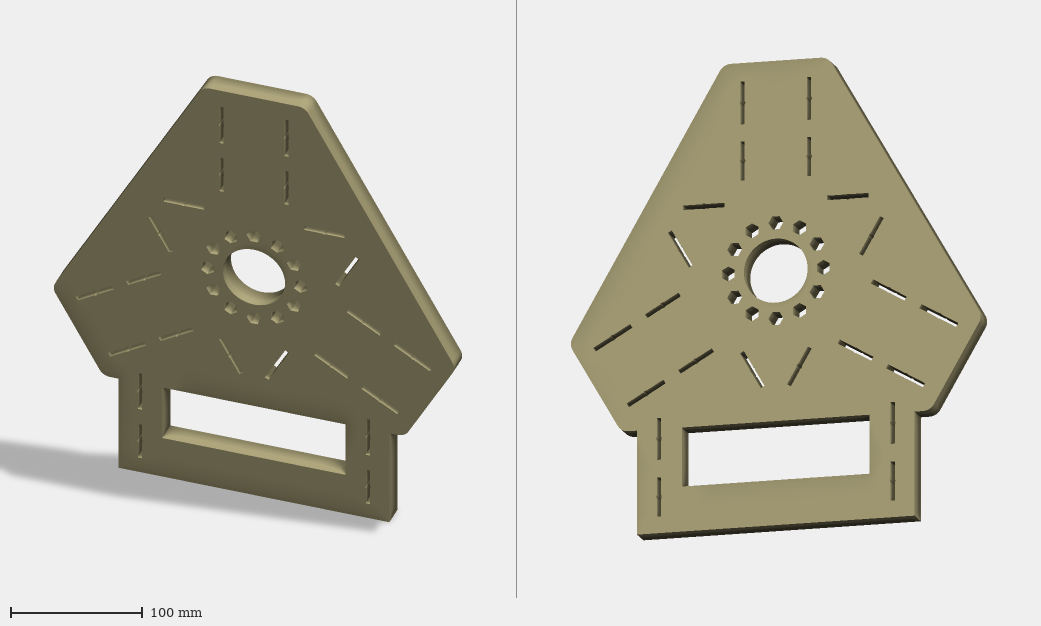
import cadquery as cq
import math

TOTAL_HEIGHT = 363.3
THICKNESS = 18.0
ARM_REACH = 164.2
SIDE_REACH = 117.7
CORNER_RADIUS = 9.8
ARM_COUNT = 3

FRAME_WIDTH = 218.5
FRAME_BOTTOM = ARM_REACH - TOTAL_HEIGHT
RAIL_WIDTH = 35.2

BORE_DIAMETER = 50.0
NUT_COUNT = 12
NUT_RING_RADIUS = 37.5
NUT_SIDES = 6
NUT_ACROSS_CORNERS = 11.5

SLOT_WIDTH = 3.45
SLOT_HOLE_DIAMETER = 4.5
LONG_SLOT = 33.5
MIDDLE_SLOT = 32.7
SHORT_SLOT = 30.5

ARM_SLOT_X = 26.0
ARM_OUTER_SLOT_Z = 133.0
ARM_INNER_SLOT_Z = 87.5
CROSS_SLOT_X = 56.5
CROSS_SLOT_Z = 54.0

FRAME_SLOT_X = 92.0
FRAME_UPPER_SLOT_Z = -125.5
FRAME_LOWER_SLOT_Z = -170.7


def sketch_plane():
    """XZ plane through the middle of the thickness, bore centre at the origin."""
    return cq.Workplane("XZ")


def extrude_through(outline):
    return outline.extrude(THICKNESS / 2, both=True)


def rotated(x, z, angle):
    """Point (x, z) turned counter-clockwise about the bore centre by an angle in degrees."""
    c = math.cos(math.radians(angle))
    s = math.sin(math.radians(angle))
    return x * c - z * s, x * s + z * c


def arm_angles():
    return [arm * 360 / ARM_COUNT for arm in range(ARM_COUNT)]


def plate():
    turn = math.pi / ARM_COUNT
    half_short_side = (SIDE_REACH - ARM_REACH * math.cos(turn)) / math.sin(turn)
    corners = []
    for angle in arm_angles():
        corners.append(rotated(half_short_side, ARM_REACH, angle))
        corners.append(rotated(-half_short_side, ARM_REACH, angle))
    body = extrude_through(sketch_plane().polyline(corners).close())
    return body.edges("|Y").fillet(CORNER_RADIUS)


def block(width, bottom, top):
    """Full-thickness block centred on x = 0 between two heights."""
    return extrude_through(sketch_plane().center(0, (bottom + top) / 2).rect(width, top - bottom))


def frame():
    outer = block(FRAME_WIDTH, FRAME_BOTTOM, -SIDE_REACH)
    window = block(FRAME_WIDTH - 2 * RAIL_WIDTH, FRAME_BOTTOM + RAIL_WIDTH, -SIDE_REACH)
    return outer.cut(window)


def bore():
    return extrude_through(sketch_plane().circle(BORE_DIAMETER / 2))


def nut_holes():
    hole = extrude_through(sketch_plane().center(0, NUT_RING_RADIUS).polygon(NUT_SIDES, NUT_ACROSS_CORNERS))
    holes = []
    for index in range(NUT_COUNT):
        holes.append(hole.rotate((0, 0, 0), (0, -1, 0), index * 360 / NUT_COUNT))
    return holes


def slot(x, z, length, angle):
    """Slot at (x, z) whose length runs at an angle in degrees from +X."""
    groove = extrude_through(sketch_plane().rect(length, SLOT_WIDTH))
    hole = extrude_through(sketch_plane().circle(SLOT_HOLE_DIAMETER / 2))
    turned = groove.union(hole).rotate((0, 0, 0), (0, -1, 0), angle)
    return turned.translate((x, 0, z))


def arm_slots():
    upward_arm = (
        (ARM_SLOT_X, ARM_OUTER_SLOT_Z, LONG_SLOT, 90),
        (ARM_SLOT_X, ARM_INNER_SLOT_Z, SHORT_SLOT, 90),
        (CROSS_SLOT_X, CROSS_SLOT_Z, MIDDLE_SLOT, 0),
    )
    slots = []
    for turn in arm_angles():
        for x, z, length, angle in upward_arm:
            for side in (-1, 1):
                slot_x, slot_z = rotated(side * x, z, turn)
                slots.append(slot(slot_x, slot_z, length, angle + turn))
    return slots


def frame_slots():
    slots = []
    for side in (-1, 1):
        slots.append(slot(side * FRAME_SLOT_X, FRAME_UPPER_SLOT_Z, MIDDLE_SLOT, 90))
        slots.append(slot(side * FRAME_SLOT_X, FRAME_LOWER_SLOT_Z, SHORT_SLOT, 90))
    return slots


result = plate().union(frame()).cut(bore())
for cutter in nut_holes() + arm_slots() + frame_slots():
    result = result.cut(cutter)